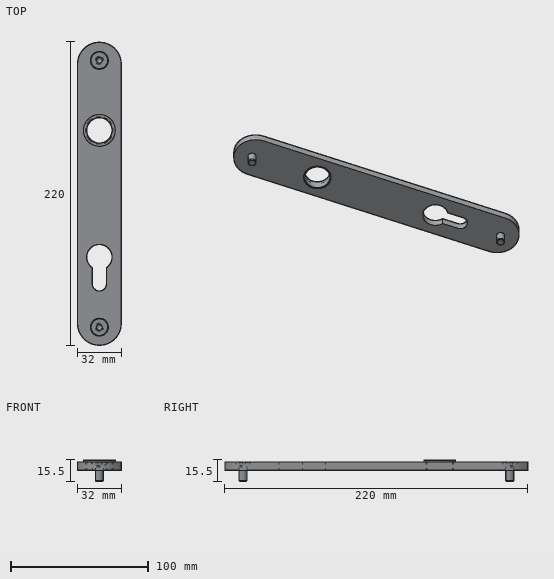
import cadquery as cq
import math

PLATE_LENGTH = 220.0
PLATE_WIDTH = 32.0
PLATE_THICKNESS = 6.2

OPENING_DIAMETER = 18.3
OPENING_OFFSET = 46.0

BUSH_DIAMETER = 20.0
FLANGE_DIAMETER = 23.0
FLANGE_HEIGHT = 1.3

SLOT_WIDTH = 10.1
KEYHOLE_LENGTH = 33.7

SCREW_OFFSET = 96.8
COUNTERSINK_DIAMETER = 13.0
HEAD_DIAMETER = 12.0
SHANK_DIAMETER = 6.0
SHANK_PROJECTION = 8.0
TIP_CHAMFER = 0.7
SOCKET_SIDES = 6
SOCKET_WIDTH = 4.0
SOCKET_CORNER_DIAMETER = SOCKET_WIDTH / math.cos(math.pi / SOCKET_SIDES)
SOCKET_DEPTH = 2.0
SOCKET_POINT_DEPTH = 1.0

HEAD_TOP = PLATE_THICKNESS - (COUNTERSINK_DIAMETER - HEAD_DIAMETER) / 2
CONE_BOTTOM = PLATE_THICKNESS - (COUNTERSINK_DIAMETER - SHANK_DIAMETER) / 2

SCREW_POSITIONS = (-SCREW_OFFSET, SCREW_OFFSET)


def disc(diameter, height, y, base=0):
    """Upright cylinder on the centre line of the plate."""
    return cq.Workplane("XY", origin=(0, y, base)).circle(diameter / 2).extrude(height)


def keyhole_cutter():
    """Round opening joined to a narrower slot with a round lower end."""
    slot_end_y = -OPENING_OFFSET + OPENING_DIAMETER / 2 - KEYHOLE_LENGTH + SLOT_WIDTH / 2
    slot_length = -OPENING_OFFSET - slot_end_y
    opening = disc(OPENING_DIAMETER, PLATE_THICKNESS, -OPENING_OFFSET)
    slot = (
        cq.Workplane("XY")
        .center(0, -OPENING_OFFSET - slot_length / 2)
        .slot2D(slot_length + SLOT_WIDTH, SLOT_WIDTH, 90)
        .extrude(PLATE_THICKNESS)
    )
    return opening.union(slot)


def turned_solid(profile, y):
    """Revolve (radius, height) points about the vertical axis at (0, y)."""
    return cq.Workplane("XZ").polyline(profile).close().revolve(360, (0, 0), (0, 1)).translate((0, y, 0))


def countersunk_hole_cutter(y):
    """Hole that fits the shank, opening into a cone at the plate top."""
    shank_radius = SHANK_DIAMETER / 2
    profile = [
        (0, 0),
        (shank_radius, 0),
        (shank_radius, CONE_BOTTOM),
        (COUNTERSINK_DIAMETER / 2, PLATE_THICKNESS),
        (0, PLATE_THICKNESS),
    ]
    return turned_solid(profile, y)


def socket_cutter(y):
    """Hexagonal socket with a conical bottom."""
    corner_radius = SOCKET_CORNER_DIAMETER / 2
    socket_floor = HEAD_TOP - SOCKET_DEPTH
    socket_point = socket_floor - SOCKET_POINT_DEPTH
    hexagon = (
        cq.Workplane("XY", origin=(0, y, socket_point))
        .polygon(SOCKET_SIDES, SOCKET_CORNER_DIAMETER)
        .extrude(HEAD_TOP - socket_point)
    )
    profile = [
        (0, socket_point),
        (corner_radius, socket_floor),
        (corner_radius, HEAD_TOP),
        (0, HEAD_TOP),
    ]
    return hexagon.intersect(turned_solid(profile, y))


def make_screw(y):
    """Countersunk screw whose head sits just below the plate top."""
    shank_radius = SHANK_DIAMETER / 2
    profile = [
        (0, -SHANK_PROJECTION),
        (shank_radius - TIP_CHAMFER, -SHANK_PROJECTION),
        (shank_radius, -SHANK_PROJECTION + TIP_CHAMFER),
        (shank_radius, CONE_BOTTOM),
        (HEAD_DIAMETER / 2, HEAD_TOP),
        (0, HEAD_TOP),
    ]
    return turned_solid(profile, y).cut(socket_cutter(y))


def make_bush():
    """Plain tube through the plate with a thin flange resting on top."""
    tube = disc(BUSH_DIAMETER, PLATE_THICKNESS, OPENING_OFFSET)
    flange = disc(FLANGE_DIAMETER, FLANGE_HEIGHT, OPENING_OFFSET, PLATE_THICKNESS)
    bore = disc(OPENING_DIAMETER, PLATE_THICKNESS + FLANGE_HEIGHT, OPENING_OFFSET)
    return tube.union(flange).cut(bore)


def make_plate():
    """Round-ended plate with the bush hole, the keyhole and the screw holes."""
    body = cq.Workplane("XY").slot2D(PLATE_LENGTH, PLATE_WIDTH, 90).extrude(PLATE_THICKNESS)
    body = body.cut(disc(BUSH_DIAMETER, PLATE_THICKNESS, OPENING_OFFSET))
    body = body.cut(keyhole_cutter())
    for y in SCREW_POSITIONS:
        body = body.cut(countersunk_hole_cutter(y))
    return body


plate = make_plate()
bush = make_bush()
screws = [make_screw(y) for y in SCREW_POSITIONS]

result = cq.Compound.makeCompound([plate.val(), bush.val(), *[screw.val() for screw in screws]])